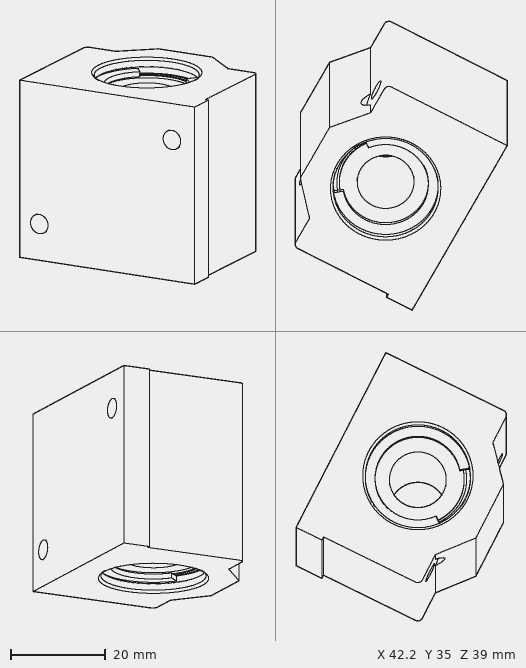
import cadquery as cq
import math

overall_width = 42.25
body_width = 41.5
depth = 35.0
height = 39.0
ledge_depth = 6.13
shoulder_y = 28.95
ridge_base_width = 27.12
ridge_top_width = 13.0
corner_radius = 1.1
centre_x = body_width / 2
mid_z = height / 2

bore_y = 18.0
bore_radius = 11.1
bore_chamfer = 0.55

hole_diameter = 4.22
hole_spacing_x = 32.0
hole_spacing_z = 23.0
head_clearance_diameter = 8.2

bushing_length = 32.0
shaft_diameter = 12.0
end_chamfer = 0.8
seal_radius = 9.8
seal_recess = 0.5

ring_thickness = 1.1
groove_depth = 0.5
groove_width = 1.5
ring_inner_radius = 9.05
ring_gap_angle = 76.0
groove_radius = bore_radius + groove_depth
bushing_bottom = (height - bushing_length) / 2
bushing_top = bushing_bottom + bushing_length
ring_bottoms = [bushing_bottom - ring_thickness, bushing_top]
groove_bottoms = [bushing_bottom - groove_width, bushing_top]


def cylinder(radius, bottom, length):
    """Cylinder on the bore axis."""
    return cq.Workplane("XY", origin=(centre_x, bore_y, bottom)).circle(radius).extrude(length)


def make_block():
    """Prism with a raised back ridge, rounded back corners and a side ledge."""
    outline = [
        (0, 0),
        (overall_width, 0),
        (overall_width, ledge_depth),
        (body_width, ledge_depth),
        (body_width, shoulder_y),
        (centre_x + ridge_base_width / 2, shoulder_y),
        (centre_x + ridge_top_width / 2, depth),
        (centre_x - ridge_top_width / 2, depth),
        (centre_x - ridge_base_width / 2, shoulder_y),
        (0, shoulder_y),
    ]
    block = cq.Workplane("XY").polyline(outline).close().extrude(height)
    for corner_x in (0, body_width):
        corner = cq.selectors.NearestToPointSelector((corner_x, shoulder_y, mid_z))
        block = block.edges(corner).fillet(corner_radius)
    return block


def cut_bore(block):
    """Through bore with both mouths chamfered and a groove for each ring."""
    block = block.cut(cylinder(bore_radius, 0, height))
    mouth_radius = bore_radius + bore_chamfer
    for mouth_z, inward in ((0, 1), (height, -1)):
        axis_point = cq.Vector(centre_x, bore_y, mouth_z)
        mouth = cq.Solid.makeCone(mouth_radius, bore_radius, bore_chamfer, axis_point, cq.Vector(0, 0, inward))
        block = block.cut(cq.Workplane(mouth))
    for bottom in groove_bottoms:
        block = block.cut(cylinder(groove_radius, bottom, groove_width))
    return block


def cut_mounting_holes(block):
    """Through holes along Y, with screw-head clearance cut into the ridge flanks."""
    for side in (-1, 1):
        hole_x = centre_x + side * hole_spacing_x / 2
        hole_z = mid_z + side * hole_spacing_z / 2
        front = cq.Workplane("XZ", origin=(hole_x, 0, hole_z))
        block = block.cut(front.circle(hole_diameter / 2).extrude(-depth))
        shoulder = cq.Workplane("XZ", origin=(hole_x, shoulder_y, hole_z))
        block = block.cut(shoulder.circle(head_clearance_diameter / 2).extrude(shoulder_y - depth))
    return block


def make_bushing():
    """Chamfered sleeve with a shaft hole and a recessed seal face at each end."""
    sleeve = cylinder(bore_radius, bushing_bottom, bushing_length).edges().chamfer(end_chamfer)
    for bottom in (bushing_bottom, bushing_top - seal_recess):
        sleeve = sleeve.cut(cylinder(seal_radius, bottom, seal_recess))
    return sleeve.cut(cylinder(shaft_diameter / 2, bushing_bottom, bushing_length))


def make_retaining_ring(bottom):
    """Flat open ring with its gap towards +Y and radial end faces."""
    ring = cylinder(groove_radius, bottom, ring_thickness)
    ring = ring.cut(cylinder(ring_inner_radius, bottom, ring_thickness))
    wedge_length = 2 * groove_radius
    wedge_half_width = wedge_length * math.tan(math.radians(ring_gap_angle / 2))
    gap = (
        cq.Workplane("XY", origin=(centre_x, bore_y, bottom))
        .polyline([(0, 0), (wedge_half_width, wedge_length), (-wedge_half_width, wedge_length)])
        .close()
        .extrude(ring_thickness)
    )
    return ring.cut(gap)


housing = cut_mounting_holes(cut_bore(make_block()))
bushing = make_bushing()
retaining_rings = [make_retaining_ring(bottom).val() for bottom in ring_bottoms]

result = cq.Compound.makeCompound([housing.val(), bushing.val(), *retaining_rings])